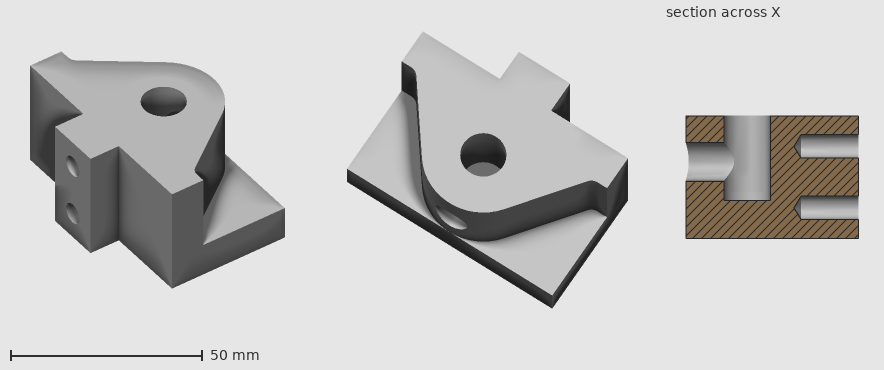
import cadquery as cq
import math

width = 64.0
height = 32.0
body_depth = 36.0
base_height = 10.0
wall_thickness = 10.0

tongue_width = 16.0
tongue_depth = 9.0

lobe_radius = 16.0
lobe_y = body_depth - lobe_radius
flank_angle = math.radians(53)
flank_fillet = 3.0
bore_diameter = 12.0
bore_floor_z = base_height

cross_hole_diameter = 10.0
cross_hole_z = 20.0

drill_diameter = 6.0
drill_depth = 15.0
drill_tip_angle = math.radians(118)
drill_heights = (height / 4, 3 * height / 4)


def make_body():
    """L-shaped block with the tongue centred on its front."""
    base = cq.Workplane("XY").box(width, body_depth, base_height, centered=(True, False, False))
    wall = cq.Workplane("XY").box(width, wall_thickness, height, centered=(True, False, False))
    tongue = (
        cq.Workplane("XY")
        .box(tongue_width, tongue_depth, height, centered=(True, False, False))
        .translate((0, -tongue_depth, 0))
    )
    return base.union(wall).union(tongue)


def make_lobe():
    """Full-height lobe: round back, tangent flanks, concave fillets onto the wall."""
    sin_flank = math.sin(flank_angle)
    cos_flank = math.cos(flank_angle)
    tangent_x = lobe_radius * sin_flank
    tangent_y = lobe_y + lobe_radius * cos_flank

    corner_x = tangent_x + (tangent_y - wall_thickness) / math.tan(flank_angle)
    fillet_reach = flank_fillet * math.tan(flank_angle / 2)
    fillet_end_x = corner_x + fillet_reach
    fillet_start_x = corner_x - fillet_reach * cos_flank
    fillet_start_y = wall_thickness + fillet_reach * sin_flank
    fillet_mid_x = fillet_end_x - flank_fillet * math.sin(flank_angle / 2)
    fillet_mid_y = wall_thickness + flank_fillet * (1 - math.cos(flank_angle / 2))

    return (
        cq.Workplane("XY")
        .moveTo(-fillet_end_x, 0)
        .lineTo(-fillet_end_x, wall_thickness)
        .threePointArc((-fillet_mid_x, fillet_mid_y), (-fillet_start_x, fillet_start_y))
        .lineTo(-tangent_x, tangent_y)
        .threePointArc((0, body_depth), (tangent_x, tangent_y))
        .lineTo(fillet_start_x, fillet_start_y)
        .threePointArc((fillet_mid_x, fillet_mid_y), (fillet_end_x, wall_thickness))
        .lineTo(fillet_end_x, 0)
        .close()
        .extrude(height)
    )


def make_bore():
    return (
        cq.Workplane("XY", origin=(0, lobe_y, bore_floor_z))
        .circle(bore_diameter / 2)
        .extrude(height - bore_floor_z)
    )


def make_cross_hole():
    return (
        cq.Workplane("XZ", origin=(0, body_depth, cross_hole_z))
        .circle(cross_hole_diameter / 2)
        .extrude(lobe_radius)
    )


def make_drilled_hole(z):
    """Drilled hole running in +Y from the tongue face, with a conical tip."""
    radius = drill_diameter / 2
    tip_length = radius / math.tan(drill_tip_angle / 2)
    return (
        cq.Workplane("XY")
        .polyline([(0, 0), (radius, 0), (radius, drill_depth), (0, drill_depth + tip_length)])
        .close()
        .revolve(360, (0, 0, 0), (0, 1, 0))
        .translate((0, -tongue_depth, z))
    )


result = make_body().union(make_lobe()).cut(make_bore()).cut(make_cross_hole())
for hole_z in drill_heights:
    result = result.cut(make_drilled_hole(hole_z))